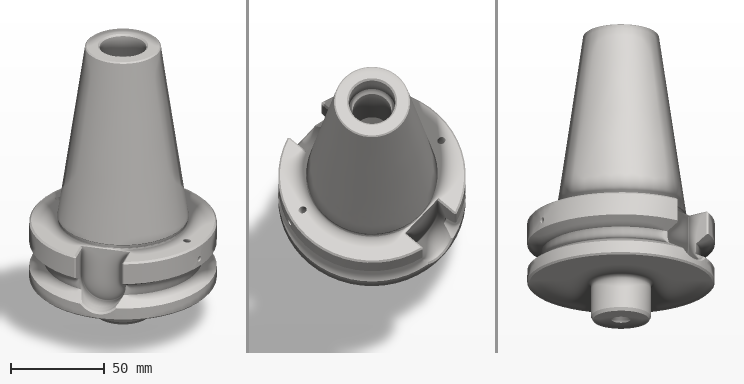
import cadquery as cq
import math

total_height = 159.8
gauge_height = 58.0
taper_ratio = 7 / 24
gauge_radius = 35.0
tip_radius = gauge_radius - (total_height - gauge_height) * taper_ratio / 2
tip_chamfer = 0.6

neck_radius = 34.5
neck_fillet = 0.8

flange_radius = 50.0
flange_bottom = 20.1
flange_top = 55.1
flange_chamfer = 1.0
lower_rim_top = 27.6
upper_rim_bottom = 42.3
groove_radius = 42.5
groove_slope = math.tan(math.radians(30))
groove_rise = (flange_radius - groove_radius) * groove_slope

pilot_radius = 16.0
pilot_fillet = 1.8
pilot_chamfer_width = 1.0
pilot_chamfer_height = 1.8

bore_radius = 25.0 / 2
bore_chamfer = 1.0
bore_depth = 12.8
inner_bore_radius = 20.8 / 2
inner_bore_depth = 48.0
through_radius = 10.0 / 2
drill_half_angle = math.radians(59)

slot_half_width = 12.8
slot_floor = 35.3
slot_bottom = 24.3
slot_floor_fillet = 0.5

coolant_azimuths = (160, -20)
coolant_radius = 3.8 / 2
coolant_distance = 42.0
coolant_tilt = 30.0
coolant_depth = 11.2
side_hole_radius = 3.2 / 2
side_hole_height = 46.7


def make_body():
    """Revolve the outer outline, then round the two inside corners."""
    outline = [
        (0, 0),
        (pilot_radius - pilot_chamfer_width, 0),
        (pilot_radius, pilot_chamfer_height),
        (pilot_radius, flange_bottom),
        (flange_radius - flange_chamfer, flange_bottom),
        (flange_radius, flange_bottom + flange_chamfer),
        (flange_radius, lower_rim_top),
        (groove_radius, lower_rim_top + groove_rise),
        (groove_radius, upper_rim_bottom - groove_rise),
        (flange_radius, upper_rim_bottom),
        (flange_radius, flange_top),
        (neck_radius, flange_top),
        (neck_radius, gauge_height - (gauge_radius - neck_radius)),
        (gauge_radius, gauge_height),
        (tip_radius + tip_chamfer * taper_ratio / 2, total_height - tip_chamfer),
        (tip_radius - tip_chamfer, total_height),
        (0, total_height),
    ]
    body = cq.Workplane("XZ").polyline(outline).close().revolve(360, (0, 0), (0, 1))
    body = fillet_circle(body, pilot_radius, flange_bottom, pilot_fillet)
    return fillet_circle(body, neck_radius, flange_top, neck_fillet)


def fillet_circle(body, radius, height, fillet):
    """Round the circular edge of the given radius at the given height."""
    tolerance = 0.02
    box = cq.selectors.BoxSelector(
        (-radius - tolerance, -radius - tolerance, height - tolerance),
        (radius + tolerance, radius + tolerance, height + tolerance),
        boundingbox=True,
    )
    return body.edges(box).fillet(fillet)


def make_bore():
    """Entry bore, inner bore with a drill point, and through hole."""
    bore_floor = total_height - bore_depth
    inner_floor = total_height - inner_bore_depth
    point_depth = (inner_bore_radius - through_radius) / math.tan(drill_half_angle)
    outline = [
        (0, 0),
        (through_radius, 0),
        (through_radius, inner_floor - point_depth),
        (inner_bore_radius, inner_floor),
        (inner_bore_radius, bore_floor - (bore_radius - inner_bore_radius)),
        (bore_radius, bore_floor),
        (bore_radius, total_height - bore_chamfer),
        (bore_radius + bore_chamfer, total_height),
        (0, total_height),
    ]
    return cq.Workplane("XZ").polyline(outline).close().revolve(360, (0, 0), (0, 1))


def make_slot_cutter():
    """Round-bottomed drive slot on the -Y side, open at the top."""
    arc_center = slot_bottom + slot_half_width
    return (
        cq.Workplane("XZ", origin=(0, -slot_floor, 0))
        .moveTo(-slot_half_width, flange_top)
        .lineTo(-slot_half_width, arc_center)
        .threePointArc((0, slot_bottom), (slot_half_width, arc_center))
        .lineTo(slot_half_width, flange_top)
        .close()
        .extrude(flange_radius - slot_floor)
    )


def chamfer_lower_rim(body, side):
    """Bevel the slot edge on the lower rim; side is -1 or 1 along Y."""
    margin = 0.08
    reach = slot_half_width + margin
    inner = side * (slot_floor + margin)
    outer = side * (flange_radius + margin)
    lower_rim = cq.selectors.BoxSelector(
        (-reach, inner, slot_bottom - margin),
        (reach, outer, lower_rim_top + margin),
        boundingbox=True,
    )
    return body.edges(lower_rim).chamfer(flange_chamfer)


def chamfer_upper_rim(body):
    """Bevel the flange top edge, the top edges of the slot walls and their outer corners."""
    margin = 0.08

    def is_top_edge(edge):
        middle = edge.positionAt(0.5)
        on_top = abs(edge.Center().z - flange_top) < margin
        on_rim = math.hypot(middle.x, middle.y) > flange_radius - margin
        on_wall = abs(abs(middle.x) - slot_half_width) < margin and edge.geomType() == "LINE"
        return on_top and (on_rim or on_wall)

    def is_outer_corner(edge):
        middle = edge.positionAt(0.5)
        on_wall = abs(abs(middle.x) - slot_half_width) < margin
        on_rim = math.hypot(middle.x, middle.y) > flange_radius - margin
        return on_wall and on_rim and middle.z > upper_rim_bottom

    return body.edges().filter(lambda edge: is_top_edge(edge) or is_outer_corner(edge)).chamfer(
        flange_chamfer
    )


def fillet_slot_floor(body, side):
    """Round the corner between a slot floor and its walls; side is -1 or 1 along Y."""
    margin = 0.08
    floor_outline = cq.selectors.BoxSelector(
        (-slot_half_width - margin, side * slot_floor - margin, slot_bottom - margin),
        (slot_half_width + margin, side * slot_floor + margin, flange_top - margin),
        boundingbox=True,
    )
    return body.edges(floor_outline).fillet(slot_floor_fillet)


def cut_drive_slots(body):
    """Cut the two opposite drive slots, then bevel and round their edges."""
    cutter = make_slot_cutter()
    body = body.cut(cutter).cut(cutter.mirror("XZ"))
    body = chamfer_upper_rim(body)
    for side in (-1, 1):
        body = chamfer_lower_rim(body, side)
        body = fillet_slot_floor(body, side)
    return body


def make_coolant_holes(azimuth):
    """Slanted hole from the flange top and the radial hole that meets it."""
    tilt = math.radians(coolant_tilt)
    top_point = cq.Vector(coolant_distance, 0, flange_top)
    downward = cq.Vector(-math.sin(tilt), 0, -math.cos(tilt))
    overshoot = 3.2
    slanted = cq.Solid.makeCylinder(
        coolant_radius, coolant_depth + overshoot, top_point - downward * overshoot, downward
    )
    meeting_radius = coolant_distance - (flange_top - side_hole_height) * math.tan(tilt)
    side_hole = cq.Solid.makeCylinder(
        side_hole_radius,
        flange_radius + overshoot - meeting_radius,
        cq.Vector(meeting_radius, 0, side_hole_height),
        cq.Vector(1, 0, 0),
    )
    holes = cq.Workplane(slanted).union(cq.Workplane(side_hole))
    return holes.rotate((0, 0, 0), (0, 0, 1), azimuth)


result = cut_drive_slots(make_body()).cut(make_bore())
for azimuth in coolant_azimuths:
    result = result.cut(make_coolant_holes(azimuth))